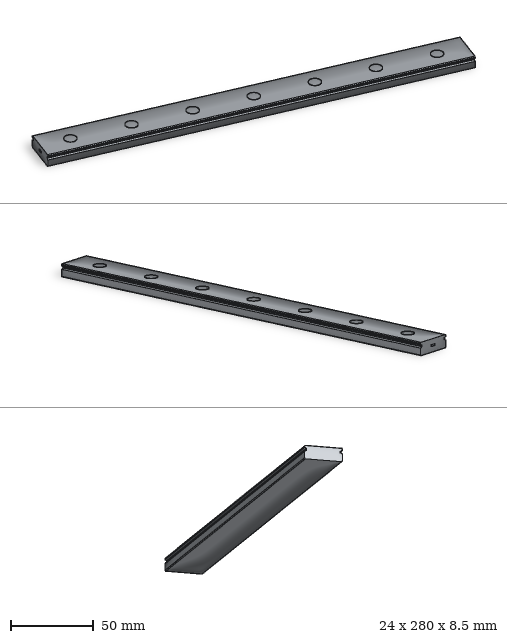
import cadquery as cq

length = 280.0
width = 24.0
height = 8.5
edge_chamfer = 0.5

groove_radius = 1.0
groove_drop = 2.38
relief_depth = 1.5
relief_width = 0.8

recess_count = 7
recess_pitch = 40.0
recess_diameter = 8.0
recess_depth = 0.3

slot_length = 3.0
slot_width = 1.0
slot_depth = 0.3


def rail_body():
    body = cq.Workplane("XY").box(width, length, height, centered=(True, True, False))
    return body.edges("|Y").chamfer(edge_chamfer)


def groove_cutter(side):
    """Round groove and its relief along one side; side is -1 or +1 along X."""
    section = cq.Workplane("XZ", origin=(side * width / 2, length / 2, height - groove_drop))
    groove = section.circle(groove_radius).extrude(length)
    relief = section.rect(2 * relief_depth, relief_width).extrude(length)
    return groove.union(relief)


def recess_cutters():
    return (
        cq.Workplane("XY", origin=(0, 0, height))
        .rarray(2.8, recess_pitch, 1, recess_count)
        .circle(recess_diameter / 2)
        .extrude(-recess_depth)
    )


def slot_cutter():
    return (
        cq.Workplane("XZ", origin=(0, -length / 2, height / 2))
        .rect(slot_length, slot_width)
        .extrude(-slot_depth)
    )


result = rail_body()
for side in (-1, 1):
    result = result.cut(groove_cutter(side))
result = result.cut(recess_cutters())
result = result.cut(slot_cutter())